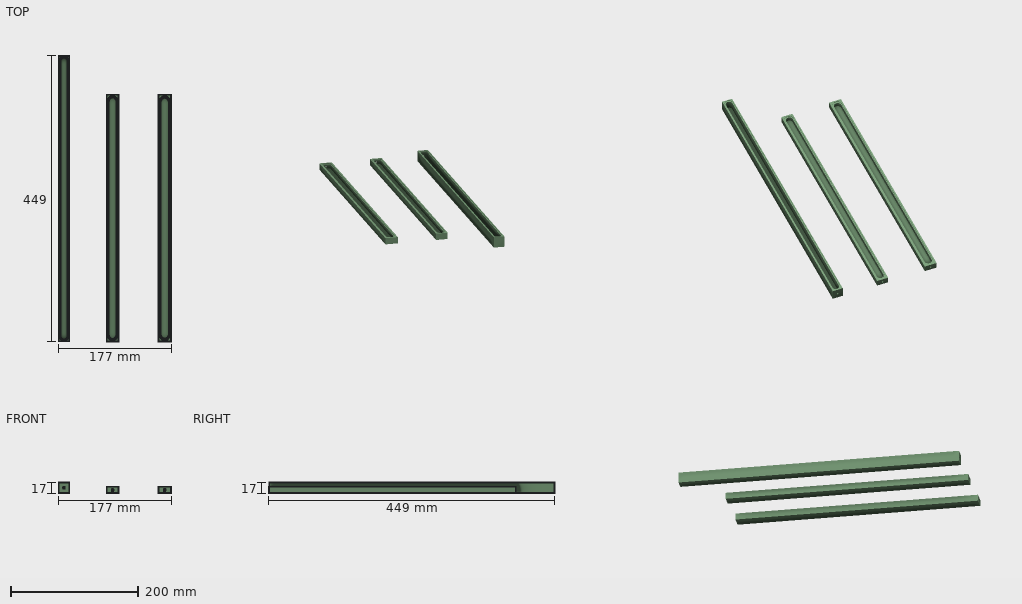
import cadquery as cq

OVERALL_LENGTH = 449.0
LONG_INSET = 0.5
LONG_LENGTH = OVERALL_LENGTH - LONG_INSET
SHORT_LENGTH = 388.0
LONG_HEIGHT = 17.0
SHORT_HEIGHT = 10.5
FLOOR = 2.5
LEDGE_DEPTH = 1.0
PORT_DIAMETER = 3.0

OVERALL_WIDTH = 177.0
LONG_WIDTH = 17.0
MIDDLE_WIDTH = 19.0
RIGHT_WIDTH = 20.0
MIDDLE_LEFT = 75.5
RIGHT_LEFT = OVERALL_WIDTH - RIGHT_WIDTH


def slot(center_x, center_y, length, width, top, depth):
    """Round-ended cutter along Y, reaching down from the top face."""
    return (
        cq.Workplane("XY", origin=(center_x, center_y, top - depth))
        .slot2D(length, width, 90)
        .extrude(depth)
    )


def channel_bar(left, width, length, height, channel_width, seat_width, end_wall, seat_wall):
    """Bar from Y = 0 with a round-ended channel, a stepped cover seat and a centred end port."""
    center_x = left + width / 2
    center_y = length / 2
    bar = cq.Workplane("XY").box(width, length, height, centered=False).translate((left, 0, 0))

    channel_length = length - 2 * end_wall
    channel = slot(center_x, center_y, channel_length, channel_width, height, height - FLOOR)
    seat_length = length - 2 * seat_wall
    seat = slot(center_x, center_y, seat_length, seat_width, height, LEDGE_DEPTH)

    port_length = end_wall + channel_width / 2
    port = (
        cq.Workplane("XZ", origin=(center_x, 0, height / 2))
        .circle(PORT_DIAMETER / 2)
        .extrude(-port_length)
    )
    return bar.cut(channel).cut(seat).cut(port)


long_bar = channel_bar(
    left=0, width=LONG_WIDTH, length=LONG_LENGTH, height=LONG_HEIGHT,
    channel_width=11.0, seat_width=14.5, end_wall=3.0, seat_wall=1.5,
)
middle_bar = channel_bar(
    left=MIDDLE_LEFT, width=MIDDLE_WIDTH, length=SHORT_LENGTH, height=SHORT_HEIGHT,
    channel_width=11.2, seat_width=15.0, end_wall=4.5, seat_wall=2.2,
)
right_bar = channel_bar(
    left=RIGHT_LEFT, width=RIGHT_WIDTH, length=SHORT_LENGTH, height=SHORT_HEIGHT,
    channel_width=12.0, seat_width=15.0, end_wall=5.0, seat_wall=2.2,
)

long_bar = long_bar.translate((0, LONG_INSET, 0))

result = cq.Compound.makeCompound([long_bar.val(), middle_bar.val(), right_bar.val()])